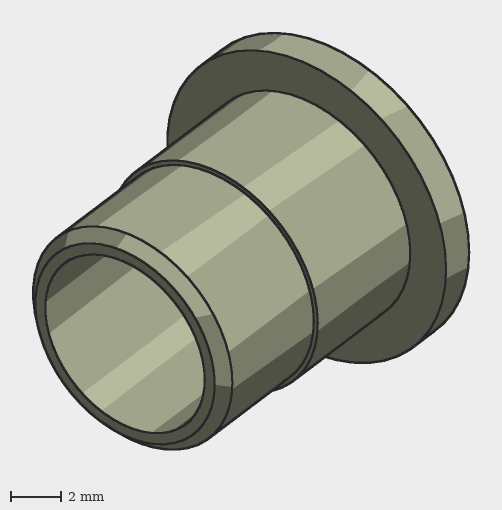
import cadquery as cq

bore_diameter = 8.0
flange_diameter = 14.0
flange_thickness = 1.5
shoulder_diameter = 10.4
shoulder_length = 6.0
total_length = 13.28
nose_diameter = 10.0
nose_chamfer = 0.5

nose_length = total_length - flange_thickness - shoulder_length


def cylinder_along_y(start_y, diameter, length):
    """Solid cylinder on the Y axis, running from start_y toward +Y."""
    base = cq.Workplane("XZ", origin=(0, start_y, 0))
    return base.circle(diameter / 2).extrude(-length)


def make_nose():
    """Leading end of the sleeve, with its outer tip edge chamfered."""
    nose = cylinder_along_y(-shoulder_length - nose_length, nose_diameter, nose_length)
    return nose.faces("<Y").edges().chamfer(nose_chamfer)


flange = cylinder_along_y(0, flange_diameter, flange_thickness)
shoulder = cylinder_along_y(-shoulder_length, shoulder_diameter, shoulder_length)
bore = cylinder_along_y(-shoulder_length - nose_length, bore_diameter, total_length)

result = flange.union(shoulder).union(make_nose()).cut(bore)